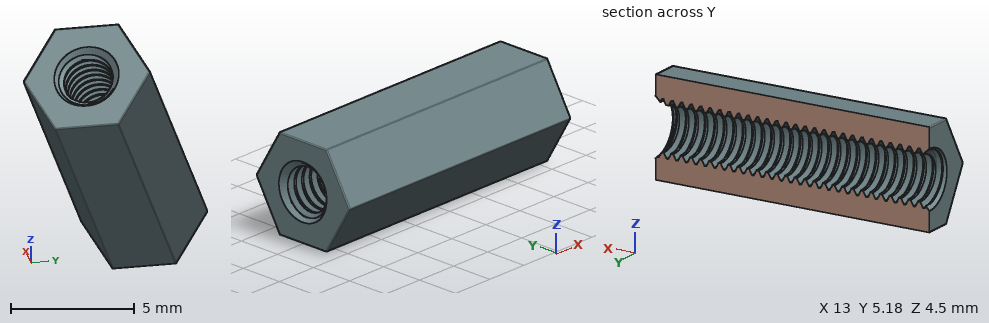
import cadquery as cq
import math

LENGTH = 13.0
ACROSS_FLATS = 4.5
EDGE_RADIUS = 0.05

PITCH = 0.45
MAJOR_DIAMETER = 2.5
MAJOR_RADIUS = MAJOR_DIAMETER / 2
SHARP_HEIGHT = PITCH * math.sqrt(3) / 2
MINOR_RADIUS = MAJOR_RADIUS - SHARP_HEIGHT * 5 / 8
FLANK_SLOPE = math.tan(math.radians(30))
GROOVE_FLOOR_WIDTH = PITCH / 8
GROOVE_OVERLAP = 0.03
GROOVE_PHASE = -0.06
RUNOUT_TURNS = 2
BORE_RUNOUT = 2.0

COUNTERSINK_DIAMETER = 2.65
COUNTERSINK_RADIUS = COUNTERSINK_DIAMETER / 2
COUNTERSINK_TIP_RADIUS = MINOR_RADIUS / 2
COUNTERSINK_HEIGHT = COUNTERSINK_RADIUS - COUNTERSINK_TIP_RADIUS

ORIGIN = cq.Vector(0, 0, 0)
X_AXIS = cq.Vector(1, 0, 0)
Y_AXIS = cq.Vector(0, 1, 0)


def hex_body():
    """Hexagonal bar with flats facing +Z and -Z and every edge rounded."""
    across_corners = ACROSS_FLATS / math.cos(math.radians(30))
    bar = cq.Workplane("YZ").polygon(6, across_corners).extrude(LENGTH)
    return bar.edges().fillet(EDGE_RADIUS)


def thread_groove():
    """Right-hand helical groove along X, longer than the spacer."""
    inner_radius = MINOR_RADIUS - GROOVE_OVERLAP
    floor_half = GROOVE_FLOOR_WIDTH / 2
    mouth_half = floor_half + (MAJOR_RADIUS - inner_radius) * FLANK_SLOPE
    profile = [
        (inner_radius, -mouth_half),
        (MAJOR_RADIUS, -floor_half),
        (MAJOR_RADIUS, floor_half),
        (inner_radius, mouth_half),
    ]
    runout = RUNOUT_TURNS * PITCH
    helix = cq.Wire.makeHelix(PITCH, LENGTH + 2 * runout, MINOR_RADIUS)
    section = cq.Workplane("XZ").polyline(profile).close()
    groove = section.sweep(cq.Workplane(helix), isFrenet=True).val()
    groove = groove.rotate(ORIGIN, Y_AXIS, 90)
    groove = groove.rotate(ORIGIN, X_AXIS, 90)
    return groove.translate(cq.Vector(GROOVE_PHASE - runout, 0, 0))


def threaded_bore():
    """Solid filling the tapped hole: the minor-diameter bore plus its groove."""
    bore_start = cq.Vector(-BORE_RUNOUT, 0, 0)
    bore = cq.Solid.makeCylinder(MINOR_RADIUS, LENGTH + 2 * BORE_RUNOUT, bore_start, X_AXIS)
    return bore.fuse(thread_groove())


def countersink(end_x, inward):
    """Cone opening at the end face at end_x, narrowing along the inward direction."""
    mouth = cq.Vector(end_x, 0, 0)
    return cq.Solid.makeCone(
        COUNTERSINK_RADIUS, COUNTERSINK_TIP_RADIUS, COUNTERSINK_HEIGHT, mouth, inward
    )


spacer = hex_body().cut(cq.Workplane(threaded_bore()))
for end_x, inward in ((0, X_AXIS), (LENGTH, -X_AXIS)):
    spacer = spacer.cut(cq.Workplane(countersink(end_x, inward)))

result = spacer.solids()